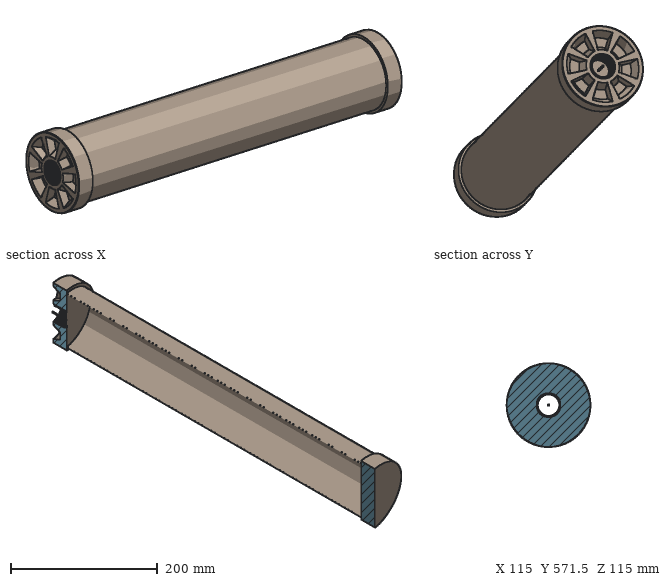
import cadquery as cq

total_length = 571.5
pin_tip = 1.0
cap_length = 24.5
front_end = -total_length / 2
back_end = total_length / 2
front_face = front_end + pin_tip
tube_front = front_face + cap_length
tube_back = back_end - cap_length

front_cap_diameter = 115.0
back_cap_diameter = 112.5
tube_diameter = 104.5
tube_bore_diameter = 100.5
front_cap_chamfer = 0.85

window_count = 8
window_depth = 12.0
window_floor = front_face + window_depth
window_outer_radius = 102.0 / 2
window_inner_radius = 23.5
window_floor_outer_radius = 43.5
window_floor_inner_radius = 30.5
window_outer_half_width = 15.0
window_inner_half_width = 7.0
window_side_draft = 8.0
window_margin = 3.5

hole_mouth_radius = 18.0
hole_mouth_depth = 1.0
thread_major_radius = 33.0 / 2
thread_minor_radius = 29.0 / 2
thread_pitch = 1.45
thread_turns = 15
pin_diameter = 2.5


def cylinder_along_y(diameter, y_start, y_end):
    """Cylinder centred on the Y axis between two Y positions."""
    return cq.Workplane("XZ", origin=(0, y_start, 0)).circle(diameter / 2).extrude(y_start - y_end)


def revolve_about_y(points):
    """Solid of revolution from (radius, y) points."""
    return cq.Workplane("XY").polyline(points).close().revolve(360, (0, 0, 0), (0, 1, 0))


def make_window():
    """Cutter for the window above the hub: narrows towards its floor on all four sides."""
    ring = revolve_about_y([
        (window_inner_radius, front_face),
        (window_outer_radius, front_face),
        (window_floor_outer_radius, window_floor),
        (window_floor_inner_radius, window_floor),
    ])
    side_slope = ((window_outer_half_width - window_inner_half_width)
                  / (window_outer_radius - window_inner_radius))
    wedge_bottom = window_inner_radius - window_margin
    wedge_top = window_outer_radius + window_margin
    bottom_half_width = window_inner_half_width - side_slope * window_margin
    top_half_width = window_outer_half_width + side_slope * window_margin
    wedge = (
        cq.Workplane("XZ", origin=(0, front_face, 0))
        .polyline([
            (-bottom_half_width, wedge_bottom),
            (bottom_half_width, wedge_bottom),
            (top_half_width, wedge_top),
            (-top_half_width, wedge_top),
        ])
        .close()
        .extrude(-window_depth, taper=window_side_draft)
    )
    return wedge.intersect(ring)


def make_threaded_hole():
    """Cutter for the blind hole: a countersunk mouth, then V grooves in a row."""
    thread_start = front_face + hole_mouth_depth
    hole_bottom = thread_start + thread_turns * thread_pitch
    profile = [(0, front_face), (hole_mouth_radius, front_face)]
    for turn in range(thread_turns):
        groove_start = thread_start + turn * thread_pitch
        profile.append((thread_major_radius, groove_start))
        profile.append((thread_minor_radius, groove_start + thread_pitch / 2))
    profile += [(thread_minor_radius, hole_bottom), (0, hole_bottom)]
    return revolve_about_y(profile)


def make_front_cap():
    cap = cylinder_along_y(front_cap_diameter, front_face, tube_front)
    cap = cap.faces("<Y").chamfer(front_cap_chamfer)
    window = make_window()
    for index in range(window_count):
        cap = cap.cut(window.rotate((0, 0, 0), (0, 1, 0), index * 360 / window_count))
    cap = cap.cut(make_threaded_hole())
    pin = cylinder_along_y(pin_diameter, front_end, tube_front)
    return cap.union(pin)


def make_tube():
    bore = cylinder_along_y(tube_bore_diameter, tube_front, tube_back)
    return cylinder_along_y(tube_diameter, tube_front, tube_back).cut(bore)


def make_back_cap():
    return cylinder_along_y(back_cap_diameter, tube_back, back_end)


front_cap = make_front_cap()
tube = make_tube()
back_cap = make_back_cap()

result = cq.Compound.makeCompound([front_cap.val(), tube.val(), back_cap.val()])